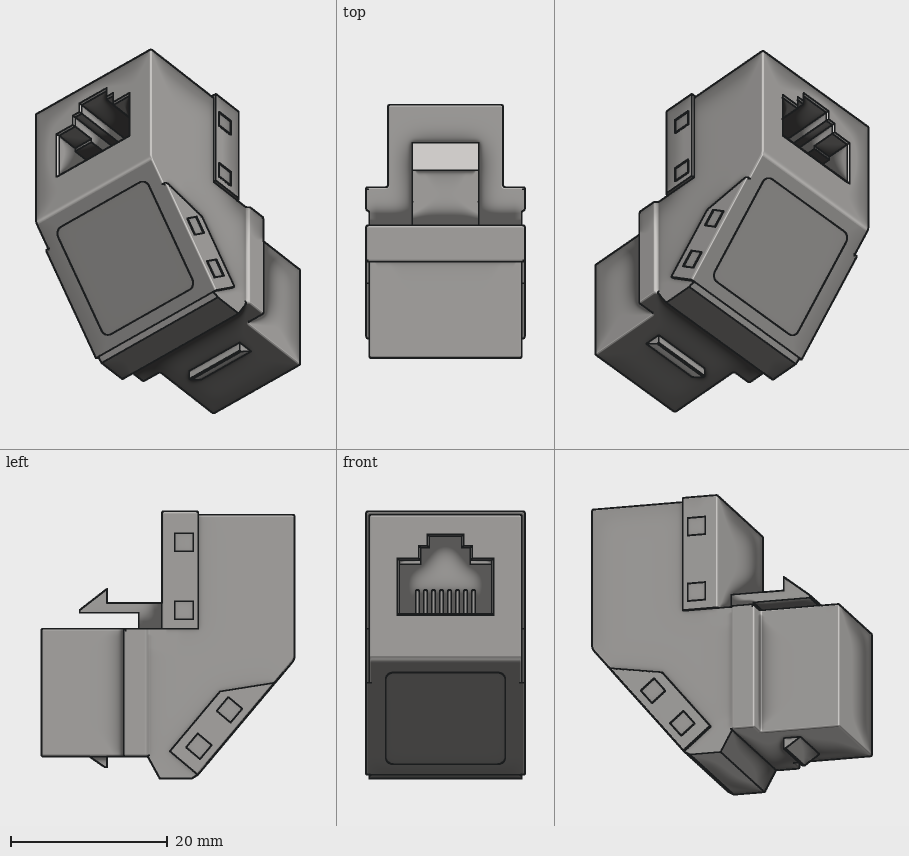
import cadquery as cq
import math


WIDTH = 20.33
LENGTH = 32.4
HEIGHT = 34.15
EDGE_RADIUS = 0.27

BODY_WIDTH = 19.5
BODY_TOP = 33.7
SLOPE_ANGLE = math.radians(50)
SLOPE_FOOT_Y = 12.35
SLOPE_FOOT_Z = 0.48
UNDERSIDE_FRONT_Y = 13.15
UNDERSIDE_REAR_Y = 17.25
HEEL_Y = 18.8
NOSE_RADIUS = 1.3

COLLAR_FRONT = 12.3
COLLAR_REAR = 16.98

BLOCK_BOTTOM = 2.8
BLOCK_TOP = 19.15
BLOCK_WIDTH = 14.72
FLANGE_REAR = 21.85
FLANGE_FRONT = 18.95
FLANGE_ROOT = 18.72
FLANGE_BLEND_RADIUS = 0.38

LATCH_WIDTH = 8.45
LATCH_ROOT_REAR = 19.95
CATCH_FACE = 23.98
LATCH_TIP = 27.5
LATCH_TIP_HEIGHT = 0.35
ARM_BOTTOM = 21.18
ARM_TOP = 22.45
LATCH_BARB_TOP = 24.25
CATCH_TIP = 26.25
CATCH_DEPTH = 1.35
CATCH_FLAT = 0.27

PAD_WIDTH = COLLAR_REAR - COLLAR_FRONT
PAD_INNER_LENGTH = 9.97
PAD_OUTER_LENGTH = 15.37

DIMPLE_SIZE = 2.32
DIMPLE_DEPTH = 0.15
COLLAR_DIMPLE_Y = 14.15
COLLAR_DIMPLE_HEIGHTS = (21.5, 30.2)
PAD_DIMPLE_INSET = 2.25
PAD_DIMPLE_STATIONS = (2.87, 8.95)

LABEL_WIDTH = 15.25
LABEL_BOTTOM_Z = 1.8
LABEL_TOP_Z = 13.53
LABEL_CORNER = 1.02
LABEL_DEPTH = 0.07

SOCKET_FLOOR = 21.08
SOCKET_DEPTH = 9.55
SOCKET_STEPS = ((11.82, 27.9), (6.35, 29.48), (4.17, 30.95))
SOCKET_CHAMFER = 0.25
LEDGE_DROP = 0.5
LEDGE_START = 3.4

CONTACT_COUNT = 8
CONTACT_PITCH = 1.02
CONTACT_DIAMETER = 0.48
CONTACT_FRONT_Y = 1.33
CONTACT_BACK_TOP = 24.1


def slope_point(along, inset):
    """(Y, Z) at a distance up the slope from its foot and a depth into the body."""
    y = SLOPE_FOOT_Y - along * math.cos(SLOPE_ANGLE) + inset * math.sin(SLOPE_ANGLE)
    z = SLOPE_FOOT_Z + along * math.sin(SLOPE_ANGLE) + inset * math.cos(SLOPE_ANGLE)
    return y, z


def side_extrusion(points, width):
    """Extrude a (Y, Z) outline evenly to both sides of X = 0."""
    return cq.Workplane("YZ").polyline(points).close().extrude(width / 2, both=True)


def box_between(width, y_range, z_range):
    (y0, y1), (z0, z1) = y_range, z_range
    return cq.Workplane("XY").box(width, y1 - y0, z1 - z0).translate((0, (y0 + y1) / 2, (z0 + z1) / 2))


def make_body():
    nose_z = SLOPE_FOOT_Z + SLOPE_FOOT_Y * math.tan(SLOPE_ANGLE)
    outline = [
        (0, BODY_TOP),
        (0, nose_z),
        (SLOPE_FOOT_Y, SLOPE_FOOT_Z),
        (UNDERSIDE_FRONT_Y, 0),
        (UNDERSIDE_REAR_Y, 0),
        (HEEL_Y, BLOCK_BOTTOM),
        (HEEL_Y, BLOCK_TOP),
        (COLLAR_REAR, BLOCK_TOP),
        (COLLAR_REAR, BODY_TOP),
    ]
    body = side_extrusion(outline, BODY_WIDTH)
    nose = cq.selectors.NearestToPointSelector((0, 0, nose_z))
    body = body.edges("|X").edges(nose).fillet(NOSE_RADIUS)
    front_edges = body.faces("<Y").edges("not(|X)")
    rim = front_edges.add(body.faces(">Z").edges("|Y")).add(body.faces(">Z").edges("<Y"))
    return rim.fillet(EDGE_RADIUS)


def make_collar():
    collar = box_between(WIDTH, (COLLAR_FRONT, COLLAR_REAR), (BLOCK_TOP, HEIGHT))
    return collar.edges(">Z or (|Z and >Y)").fillet(EDGE_RADIUS)


def make_rear_block():
    half_block, half_flange, half_body = BLOCK_WIDTH / 2, WIDTH / 2, BODY_WIDTH / 2
    right_side = [
        (half_block, LENGTH),
        (half_block, FLANGE_REAR),
        (half_flange, FLANGE_REAR),
        (half_flange, FLANGE_FRONT),
        (half_body, FLANGE_ROOT),
        (half_body, COLLAR_REAR),
    ]
    left_side = [(-x, y) for x, y in reversed(right_side)]
    block = cq.Workplane("XY").workplane(offset=BLOCK_BOTTOM).polyline(right_side + left_side).close()
    block = block.extrude(BLOCK_TOP - BLOCK_BOTTOM)

    def edges_behind(y):
        return cq.selectors.BoxSelector((-WIDTH, y, 0), (WIDTH, LENGTH + EDGE_RADIUS, HEIGHT))

    rounding_start = FLANGE_REAR - EDGE_RADIUS
    step_zone = cq.selectors.BoxSelector((-WIDTH, COLLAR_REAR, 0), (WIDTH, rounding_start, HEIGHT))
    step_edges = block.edges("|Z").edges(step_zone).edges("not(<Y)")
    block = step_edges.fillet(FLANGE_BLEND_RADIUS)
    block = block.edges("|Z").edges(edges_behind(rounding_start)).fillet(EDGE_RADIUS)

    square_tops = block.intersect(
        box_between(WIDTH, (COLLAR_REAR, rounding_start), ((BLOCK_BOTTOM + BLOCK_TOP) / 2, BLOCK_TOP))
    )
    block = block.faces(">Z").edges(edges_behind(rounding_start)).fillet(EDGE_RADIUS)
    block = block.faces("<Z").edges(edges_behind(rounding_start)).fillet(EDGE_RADIUS)
    return block.union(square_tops)


def make_latch():
    arm = [
        (COLLAR_FRONT, BLOCK_TOP),
        (LATCH_ROOT_REAR, BLOCK_TOP),
        (LATCH_ROOT_REAR, ARM_BOTTOM),
        (LATCH_TIP, ARM_BOTTOM),
        (LATCH_TIP, ARM_BOTTOM + LATCH_TIP_HEIGHT),
        (CATCH_FACE, LATCH_BARB_TOP),
        (CATCH_FACE, ARM_TOP),
        (COLLAR_FRONT, ARM_TOP),
    ]
    return side_extrusion(arm, LATCH_WIDTH)


def make_lower_catch():
    catch = [
        (CATCH_FACE, BLOCK_BOTTOM + EDGE_RADIUS),
        (CATCH_FACE, BLOCK_BOTTOM - CATCH_DEPTH),
        (CATCH_FACE + CATCH_FLAT, BLOCK_BOTTOM - CATCH_DEPTH),
        (CATCH_TIP, BLOCK_BOTTOM),
        (CATCH_TIP, BLOCK_BOTTOM + EDGE_RADIUS),
    ]
    return side_extrusion(catch, LATCH_WIDTH)


def make_pads():
    outline = [
        slope_point(0, 0),
        slope_point(0, PAD_WIDTH),
        slope_point(PAD_INNER_LENGTH, PAD_WIDTH),
        slope_point(PAD_OUTER_LENGTH, 0),
    ]
    pads = side_extrusion(outline, WIDTH)
    middle = cq.selectors.NearestToPointSelector((0, *slope_point(PAD_OUTER_LENGTH / 2, 0)))
    return pads.faces(middle).edges("not(|X)").fillet(EDGE_RADIUS)


def make_dimples():
    """Square prisms that reach the dimple depth into the collar and pad sides."""
    collar_centers = [(COLLAR_DIMPLE_Y, z) for z in COLLAR_DIMPLE_HEIGHTS]
    pad_centers = [slope_point(station, PAD_DIMPLE_INSET) for station in PAD_DIMPLE_STATIONS]
    flank = cq.Workplane("YZ").workplane(offset=WIDTH / 2 - DIMPLE_DEPTH)
    dimples = flank.pushPoints(collar_centers).rect(DIMPLE_SIZE, DIMPLE_SIZE).extrude(2 * DIMPLE_DEPTH)
    for y, z in pad_centers:
        square = flank.center(y, z).transformed(rotate=(0, 0, -math.degrees(SLOPE_ANGLE)))
        dimples = dimples.add(square.rect(DIMPLE_SIZE, DIMPLE_SIZE).extrude(2 * DIMPLE_DEPTH))
    right = dimples.combine()
    return right.add(right.mirror("YZ")).combine()


def make_label_recess():
    def station(z):
        return (z - SLOPE_FOOT_Z) / math.sin(SLOPE_ANGLE)

    low, high = station(LABEL_BOTTOM_Z), station(LABEL_TOP_Z)
    outline = [
        slope_point(low, -LABEL_DEPTH),
        slope_point(low, LABEL_DEPTH),
        slope_point(high, LABEL_DEPTH),
        slope_point(high, -LABEL_DEPTH),
    ]
    recess = side_extrusion(outline, LABEL_WIDTH)
    outward = cq.Vector(0, -math.sin(SLOPE_ANGLE), -math.cos(SLOPE_ANGLE))
    return recess.edges(cq.selectors.ParallelDirSelector(outward)).fillet(LABEL_CORNER)


def make_socket():
    right_side = [(SOCKET_STEPS[0][0] / 2, SOCKET_FLOOR)]
    for tier, (width, top) in enumerate(SOCKET_STEPS):
        if tier > 0:
            right_side.append((width / 2, SOCKET_STEPS[tier - 1][1]))
        right_side.append((width / 2, top))
    left_side = [(-x, z) for x, z in reversed(right_side)]
    socket = cq.Workplane("XZ").polyline(right_side + left_side).close().extrude(-SOCKET_DEPTH)
    socket = socket.union(make_socket_mouth(right_side + left_side))

    (socket_width, shoulder), (middle_width, _) = SOCKET_STEPS[:2]
    ledge_rows = ((LEDGE_START, SOCKET_DEPTH), (shoulder - LEDGE_DROP, shoulder))
    ledges = box_between(socket_width, *ledge_rows).cut(box_between(middle_width, *ledge_rows))
    return socket.cut(ledges)


def make_socket_mouth(outline):
    """Flare that chamfers the rim of the socket."""
    inner = cq.Wire.makePolygon([cq.Vector(x, SOCKET_CHAMFER, z) for x, z in outline], close=True)
    wide = cq.Workplane("XZ").polyline(outline).close().offset2D(SOCKET_CHAMFER, "intersection")
    return cq.Workplane(cq.Solid.makeLoft([wide.val(), inner], True))


def make_contacts():
    """Sloping round wires that rise from the socket floor to its back wall."""
    radius = CONTACT_DIAMETER / 2
    rise = CONTACT_BACK_TOP - SOCKET_FLOOR
    run = SOCKET_DEPTH - CONTACT_FRONT_Y
    tilt = math.atan2(rise, run)
    start_z = SOCKET_FLOOR - radius / math.cos(tilt)
    overrun = CONTACT_DIAMETER
    length = math.hypot(rise, run) + overrun
    direction = cq.Vector(0, math.cos(tilt), math.sin(tilt))
    contacts = cq.Workplane("XY")
    for index in range(CONTACT_COUNT):
        x = (index - (CONTACT_COUNT - 1) / 2) * CONTACT_PITCH
        start = cq.Vector(x, CONTACT_FRONT_Y, start_z)
        contacts = contacts.add(cq.Solid.makeCylinder(radius, length, start, direction))
    return contacts


result = make_body()
for feature in (make_collar(), make_rear_block(), make_latch(), make_lower_catch(), make_pads()):
    result = result.union(feature)
for pocket in (make_dimples(), make_label_recess(), make_socket()):
    result = result.cut(pocket)
for contact in make_contacts().vals():
    result = result.union(cq.Workplane(contact))